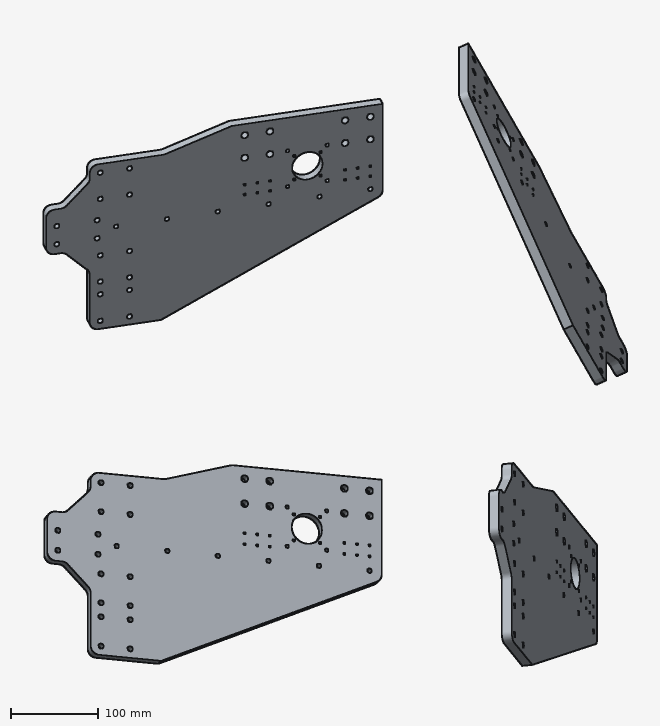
import cadquery as cq

thickness = 12.0
length = 402.5
height = 245.0

shoulder_y = 52.5
front_top_z = 220.0
top_slope_rear_y = 222.0
top_slope_front_y = 141.2
bottom_slope_front_y = 137.0
bottom_slope_rear_z = 124.0
tab_top_z = 168.0
tab_bottom_z = 108.5
tab_root_y = 21.7
corner_radius = 10.0
match_tolerance = 0.05
upper_flank_z = tab_top_z + shoulder_y - tab_root_y
lower_flank_z = tab_bottom_z - (shoulder_y - tab_root_y)

bore_diameter = 36.2
bore_y = 312.0
bore_z = 177.0
outer_screw_diameter = 4.0
outer_screw_offset = 23.7
inner_screw_diameter = 3.0
inner_screw_offset = 15.5

large_diameter = 8.0
small_diameter = 2.5
group_pitch = 120.0
group_front_y = 237.5
group_width = 30.0
large_rows_z = [200.0, 230.0]
small_rows_z = [151.0, 164.0]

row_diameter = 5.2
row_count = 6
row_pitch = 60.7
row_front_y = 83.5
row_z = 133.5

front_diameter = 6.0
front_columns_y = [64.8, 99.8]
front_rows_z = [11.0, 46.3, 63.0, 98.0, 173.5, 208.5]
tab_columns_y = [13.0, 61.0]
tab_hole_spacing = 24.0


def make_plate():
    outline = [
        (length, height),
        (top_slope_rear_y, height),
        (top_slope_front_y, front_top_z),
        (shoulder_y, front_top_z),
        (shoulder_y, upper_flank_z),
        (tab_root_y, tab_top_z),
        (0, tab_top_z),
        (0, tab_bottom_z),
        (tab_root_y, tab_bottom_z),
        (shoulder_y, lower_flank_z),
        (shoulder_y, 0),
        (bottom_slope_front_y, 0),
        (length, bottom_slope_rear_z),
    ]
    sharp_corners = [
        (length, height),
        (top_slope_rear_y, height),
        (bottom_slope_front_y, 0),
    ]
    rounded_corners = [corner for corner in outline if corner not in sharp_corners]
    plate = cq.Workplane("YZ").polyline(outline).close().extrude(thickness)

    def is_rounded(edge):
        center = edge.Center()
        return any(abs(center.y - y) + abs(center.z - z) < match_tolerance for y, z in rounded_corners)

    return plate.edges("|X").filter(is_rounded).fillet(corner_radius)


def grid(columns_y, rows_z):
    return [(y, z) for y in columns_y for z in rows_z]


def square(offset):
    return grid([bore_y - offset, bore_y + offset], [bore_z - offset, bore_z + offset])


def drill(plate, points, diameter):
    cutters = cq.Workplane("YZ").pushPoints(points).circle(diameter / 2).extrude(thickness)
    return plate.cut(cutters)


result = make_plate()

result = drill(result, [(bore_y, bore_z)], bore_diameter)
result = drill(result, square(outer_screw_offset), outer_screw_diameter)
result = drill(result, square(inner_screw_offset), inner_screw_diameter)

for group_y in [group_front_y, group_front_y + group_pitch]:
    rear_y = group_y + group_width
    middle_y = group_y + group_width / 2
    result = drill(result, grid([group_y, rear_y], large_rows_z), large_diameter)
    result = drill(result, grid([group_y, middle_y, rear_y], small_rows_z), small_diameter)

row_points = [(row_front_y + i * row_pitch, row_z) for i in range(row_count)]
result = drill(result, row_points, row_diameter)

tab_rows_z = [row_z - tab_hole_spacing / 2, row_z + tab_hole_spacing / 2]
result = drill(result, grid(front_columns_y, front_rows_z), front_diameter)
result = drill(result, grid(tab_columns_y, tab_rows_z), front_diameter)